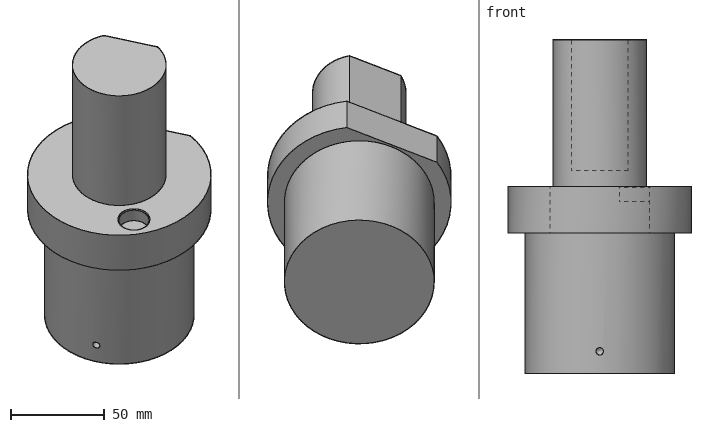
import cadquery as cq
import math

total_height = 178.0
body_height = 75.0
flange_thickness = 25.0
flange_top = body_height + flange_thickness

body_diameter = 80.0
flange_diameter = 97.9
shank_diameter = 50.0

flange_flat_y = 41.1
shank_flat_y = 20.0
shank_flat_start = flange_top + 8.4

pocket_x = 18.5
pocket_y = -32.0
pocket_diameter = 16.0
pocket_depth = 8.0
pocket_chamfer = 0.5

side_hole_diameter = 4.0
side_hole_z = 12.0
side_hole_depth = 5.3
drill_point_angle = 118.0


def cylinder(diameter, bottom, top):
    """Cylinder on the Z axis between two heights."""
    return cq.Workplane("XY").workplane(offset=bottom).circle(diameter / 2).extrude(top - bottom)


def cut_flat(solid, flat_y, bottom, top):
    """Remove everything beyond flat_y between two heights."""
    cutter = cq.Workplane("XY").box(
        flange_diameter, flange_diameter, top - bottom, centered=(True, False, False)
    )
    return solid.cut(cutter.translate((0, flat_y, bottom)))


def pocket_cutter():
    """Flat-bottomed hole with a chamfered mouth."""
    hole = cq.Workplane("XY").circle(pocket_diameter / 2).extrude(-pocket_depth)
    mouth = (
        cq.Workplane("XY")
        .circle(pocket_diameter / 2 + pocket_chamfer)
        .workplane(offset=-pocket_chamfer)
        .circle(pocket_diameter / 2)
        .loft()
    )
    return hole.union(mouth).translate((pocket_x, pocket_y, flange_top))


def side_hole_cutter():
    """Radial hole entering the body from -Y, ending in a conical drill point."""
    radius = side_hole_diameter / 2
    point_length = radius / math.tan(math.radians(drill_point_angle / 2))
    profile = (
        cq.Workplane("XY")
        .lineTo(radius, 0)
        .lineTo(radius, side_hole_depth)
        .lineTo(0, side_hole_depth + point_length)
        .close()
    )
    hole = profile.revolve(360, (0, 0, 0), (0, 1, 0))
    return hole.translate((0, -body_diameter / 2, side_hole_z))


body = cylinder(body_diameter, 0, body_height)
flange = cut_flat(
    cylinder(flange_diameter, body_height, flange_top), flange_flat_y, body_height, flange_top
)
shank = cut_flat(
    cylinder(shank_diameter, flange_top, total_height), shank_flat_y, shank_flat_start, total_height
)

result = body.union(flange).union(shank)
result = result.cut(pocket_cutter()).cut(side_hole_cutter())